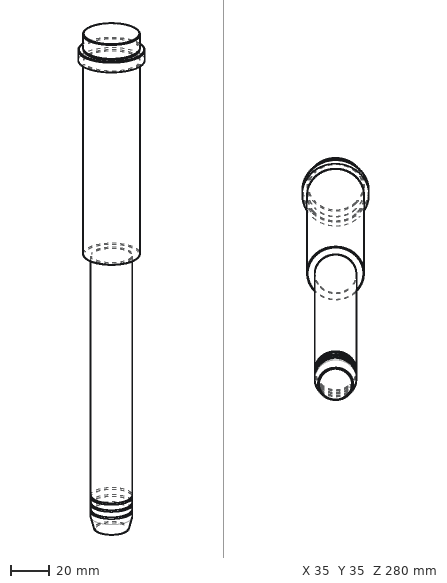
import cadquery as cq

total_length = 280.0
shank_length = 125.0
collar_offset = 9.0
collar_width = 6.0
nose_length = 7.0

shank_diameter = 30.0
collar_diameter = 35.0
pin_diameter = 22.0
nose_tip_diameter = 18.2

edge_chamfer = 0.5

relief_width = 0.8
relief_depth = 0.2

groove_count = 3
groove_width = 1.0
groove_pitch = 4.0
first_groove_center = 10.5

shank_bottom = total_length - shank_length
collar_top = total_length - collar_offset
collar_bottom = collar_top - collar_width


def make_cylinder(diameter, bottom, top):
    """Solid cylinder on the Z axis between two heights."""
    return cq.Workplane("XY").workplane(offset=bottom).circle(diameter / 2).extrude(top - bottom)


def make_nose():
    """Tapered lead-in with a chamfered tip at the lower end of the pin."""
    nose = (
        cq.Workplane("XY")
        .circle(nose_tip_diameter / 2)
        .workplane(offset=nose_length)
        .circle(pin_diameter / 2)
        .loft()
    )
    return nose.faces("<Z").chamfer(edge_chamfer)


def make_relief(diameter, bottom):
    """Square-section ring to cut from a cylinder of the given diameter."""
    top = bottom + relief_width
    core = make_cylinder(diameter - 2 * relief_depth, bottom, top)
    return make_cylinder(diameter, bottom, top).cut(core)


def make_oil_groove(center_height):
    """Round-section ring to cut from the pin."""
    radius = pin_diameter / 2
    groove_radius = groove_width / 2
    return (
        cq.Workplane("XZ")
        .moveTo(radius, center_height - groove_radius)
        .radiusArc((radius - groove_radius, center_height), groove_radius)
        .radiusArc((radius, center_height + groove_radius), groove_radius)
        .close()
        .revolve(360, (0, 0, 0), (0, 1, 0))
    )


shank = make_cylinder(shank_diameter, shank_bottom, total_length).faces("<Z or >Z").chamfer(edge_chamfer)
collar = make_cylinder(collar_diameter, collar_bottom, collar_top).faces(">Z").chamfer(edge_chamfer)
pin = make_cylinder(pin_diameter, nose_length, shank_bottom)

result = make_nose().union(pin).union(shank).union(collar)
result = result.cut(make_relief(shank_diameter, collar_top))
result = result.cut(make_relief(shank_diameter, collar_bottom - relief_width))
result = result.cut(make_relief(pin_diameter, shank_bottom - relief_width))
for index in range(groove_count):
    result = result.cut(make_oil_groove(first_groove_center + index * groove_pitch))